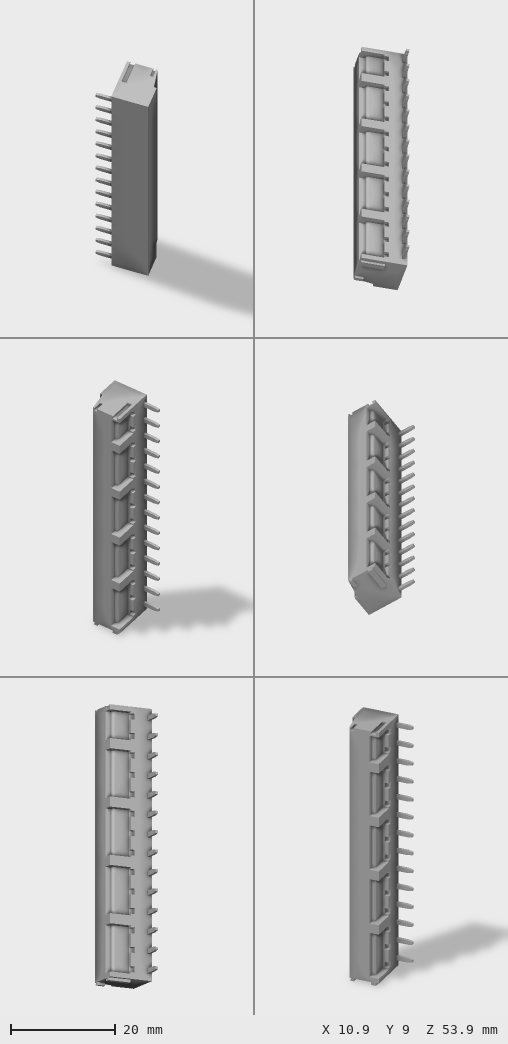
import cadquery as cq
import math


position_count = 14
total_height = 53.9
key_height = 0.6
body_height = total_height - key_height
pitch = body_height / position_count
body_width = 7.5
body_depth = 9.0
step_drop = 4.15
slope_top_x = 6.2
slope_foot_x = 6.9

pin_length = 3.4
pin_height = 0.9
pin_thickness = 0.55
pin_offset_y = 0.5
pin_tip_length = 0.95
pin_tip_height = 0.55

positions_per_window = 3
rib_thickness = 2.0
window_depth_y = 4.5
window_floor_x = 1.3
window_lip_y = 1.15
window_round_radius = 0.65

notch_height = 1.15
notch_depth_x = 0.85
notch_length_y = 0.8

dovetail_flare = 0.1
dovetail_land = 0.15
slot_mouth_chamfer = 0.1
slot_extra_length = 0.2
slot_extra_depth = 0.05
wide_key_x = 1.15
wide_key_width = 0.85
wide_key_length = 4.75
narrow_key_x = 5.6
narrow_key_width = 0.5
narrow_key_length = 1.65


def make_body():
    """Stepped profile with a sloped upper flank, extruded along the row."""
    return (
        cq.Workplane("XY")
        .polyline([
            (0, 0),
            (body_width, 0),
            (body_width, body_depth - step_drop),
            (slope_foot_x, body_depth - step_drop),
            (slope_top_x, body_depth),
            (0, body_depth),
        ])
        .close()
        .extrude(body_height)
    )


def make_window(bottom, top):
    """Recess open to -X and +Y whose floor rounds over to a deeper lip."""
    lip_x = window_floor_x + window_round_radius
    lip_y = body_depth - window_lip_y
    round_start_y = lip_y - window_round_radius
    window_start_y = body_depth - window_depth_y
    diagonal = window_round_radius * math.sqrt(0.5)
    return (
        cq.Workplane("XY", origin=(0, 0, bottom))
        .moveTo(0, window_start_y)
        .lineTo(window_floor_x, window_start_y)
        .lineTo(window_floor_x, round_start_y)
        .threePointArc((lip_x - diagonal, round_start_y + diagonal), (lip_x, lip_y))
        .lineTo(lip_x, body_depth)
        .lineTo(0, body_depth)
        .close()
        .extrude(top - bottom)
    )


def make_notch(center_z):
    """Small pocket in the -X face that opens into the window beside it."""
    notch_y = body_depth - window_depth_y - notch_length_y
    return cq.Workplane("XY", origin=(0, notch_y, center_z)).box(
        notch_depth_x, notch_length_y, notch_height, centered=(False, False, True)
    )


def make_pin(center_z):
    """Flat pin whose end tapers in height; its root lies on the body face."""
    tip_x = -pin_length
    taper_x = tip_x + pin_tip_length
    half_height = pin_height / 2
    half_tip = pin_tip_height / 2
    return (
        cq.Workplane("XZ", origin=(0, pin_offset_y, center_z))
        .polyline([
            (0, -half_height),
            (0, half_height),
            (taper_x, half_height),
            (tip_x, half_tip),
            (tip_x, -half_tip),
            (taper_x, -half_height),
        ])
        .close()
        .extrude(-pin_thickness)
    )


def make_dovetail(top_z, center_x, width, length, height):
    """Bar ending flush at +Y, narrow at top_z, flaring down to a vertical land."""
    half_width = width / 2
    half_flared = half_width + dovetail_flare
    return (
        cq.Workplane("XZ", origin=(center_x, body_depth, top_z))
        .polyline([
            (-half_width, 0),
            (half_width, 0),
            (half_flared, dovetail_land - height),
            (half_flared, -height),
            (-half_flared, -height),
            (-half_flared, dovetail_land - height),
        ])
        .close()
        .extrude(length)
    )


def make_mouth_chamfer(center_x, width, length):
    """Wedge that bevels both long edges of a slot mouth in the top face."""
    half_throat = width / 2
    half_mouth = half_throat + slot_mouth_chamfer
    return (
        cq.Workplane("XZ", origin=(center_x, body_depth, body_height))
        .polyline([
            (-half_mouth, 0),
            (half_mouth, 0),
            (half_throat, -slot_mouth_chamfer),
            (-half_throat, -slot_mouth_chamfer),
        ])
        .close()
        .extrude(length)
    )


result = make_body()

for first_position in range(0, position_count, positions_per_window):
    last_position = min(first_position + positions_per_window, position_count)
    window_bottom = first_position * pitch + rib_thickness / 2
    window_top = last_position * pitch - rib_thickness / 2
    result = result.cut(make_window(window_bottom, window_top))

for position in range(position_count):
    position_z = (position + 0.5) * pitch
    result = result.cut(make_notch(position_z))
    result = result.union(make_pin(position_z))

for key_x, key_width, key_length in (
    (wide_key_x, wide_key_width, wide_key_length),
    (narrow_key_x, narrow_key_width, narrow_key_length),
):
    slot_length = key_length + slot_extra_length
    slot_depth = key_height + slot_extra_depth
    key = make_dovetail(0, key_x, key_width, key_length, key_height)
    slot = make_dovetail(body_height, key_x, key_width, slot_length, slot_depth)
    mouth = make_mouth_chamfer(key_x, key_width, slot_length)
    result = result.union(key).cut(slot).cut(mouth)